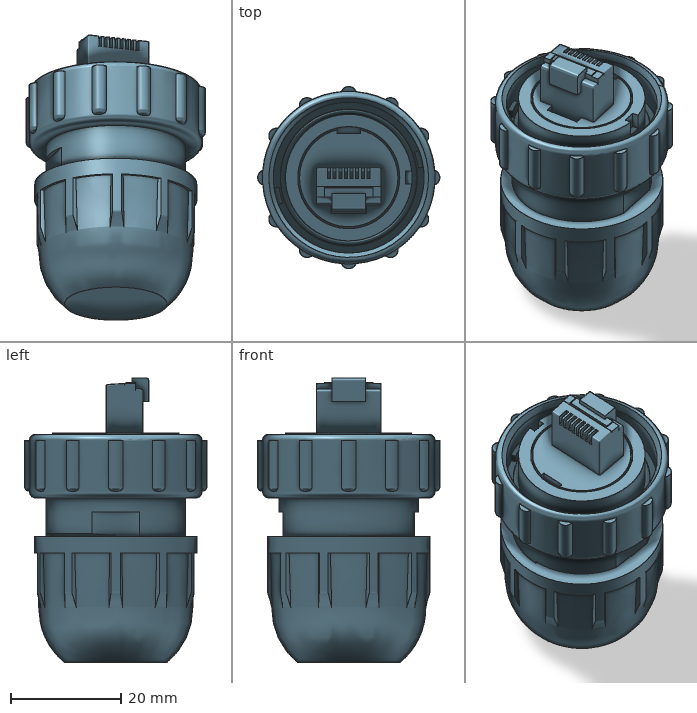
import cadquery as cq
import math

DOME_TOP_Z = 10.0
GRIP_BEND_BOTTOM_Z = 12.3
GRIP_BEND_TOP_Z = 12.9
GRIP_TOP_Z = 19.9
COLLAR_TOP_Z = 22.9
FLAT_TOP_Z = 27.3
NUT_BOTTOM_Z = 29.9
SHELF_Z = 35.0
NUT_TOP_Z = 41.45
BODY_TOP_Z = 41.65
TOTAL_HEIGHT = 51.72

GLAND_END_RADIUS = 9.3
DOME_MID_RADIUS = 12.72
DOME_MID_Z = 4.3
DOME_RADIUS = 14.0
PANEL_TOP_RADIUS = 14.25
COLLAR_RADIUS = 14.75
GRIP_COUNT = 10
GRIP_TIP_WIDTH = 1.65
GRIP_BASE_WIDTH = 2.35
GRIP_BASE_RADIUS = 14.1
GRIP_BEND_RADIUS = 14.62
RIB_OVERLAP = 0.5

HOUSING_RADIUS = 12.7
HOUSING_ACROSS_FLATS = 23.9
THREAD_RELIEF_RADIUS = 11.2
LEFT_RELIEF_HEIGHT = 0.5
FRONT_RELIEF_HEIGHT = 0.1
THREAD_RELIEF_SWEEP = 90

NUT_RADIUS = 15.68
NUT_BORE_RADIUS = 13.7
NUT_ROUNDING = 1.15
BORE_CHAMFER_WIDTH = 0.8
BORE_CHAMFER_DEPTH = 1.0
NUT_RIB_COUNT = 12
NUT_RIB_RADIUS = 1.4
NUT_RIB_REACH = 16.56
NUT_RIB_BOTTOM_Z = 31.1
NUT_RIB_TOP_Z = NUT_TOP_Z - NUT_ROUNDING
NUT_RIB_ROUNDING = 0.85
LUG_INNER_RADIUS = 12.8
LUG_START_ANGLE = 8
LUG_SWEEP = 13
LUG_HEIGHT = 1.5

BODY_RADIUS = 11.5
SEAL_SECTION_RADIUS = 0.48
INSERT_RADIUS = 8.93
INSERT_GAP = 0.34
INSERT_GAP_DEPTH = 1.0
INSERT_KEY_WIDTH = 4.3
INSERT_KEY_INNER_Y = 8.0
INSERT_KEY_DEPTH = 1.5
BODY_KEY_WIDTH = 2.4
BODY_KEY_INNER_X = 10.3
BODY_KEY_DEPTH = 3.0

PLUG_WIDTH = 11.74
PLUG_BACK_Y = 1.75
PLUG_FRONT_Y = -4.95
PLUG_BACK_TOP_Z = 50.5
PLUG_MIDDLE_TOP_Z = 50.7
SHOULDER_TOP_Z = 50.65
PLUG_STEP_Y = -3.55
PLUG_STEP_Z = 49.7
PLUG_EDGE_ROUNDING = 0.3
STEP_ROUNDING = 0.6
PAD_WIDTH = 8.85
PAD_START_Y = -1.6
PAD_RAMP_LENGTH = 0.28
PAD_TOP_Z = 50.85
CONTACT_COUNT = 8
CONTACT_PITCH = 1.02
CONTACT_SLOT_WIDTH = 0.55
CONTACT_SLOT_END_Y = -0.15
CONTACT_SLOT_DEPTH = 2.0

LATCH_WIDTH = 6.1
LATCH_BACK_Y = -2.92
LATCH_FRONT_Y = -6.03
LATCH_BOTTOM_Z = 47.4
LATCH_ROUNDING = 0.6
POCKET_WIDTH = 6.4
POCKET_FRONT_Y = -6.5
POCKET_DEPTH = 3.0


def box(x_range, y_range, z_range):
    """Axis-aligned block given by its limits along each axis."""
    (x0, x1), (y0, y1), (z0, z1) = x_range, y_range, z_range
    return cq.Workplane("XY").box(x1 - x0, y1 - y0, z1 - z0, centered=False).translate((x0, y0, z0))


def cylinder(radius, z0, z1):
    return cq.Workplane("XY").workplane(offset=z0).circle(radius).extrude(z1 - z0)


def ring(inner_radius, outer_radius, z0, z1):
    return cylinder(outer_radius, z0, z1).cut(cylinder(inner_radius, z0, z1))


def centered(width):
    return (-width / 2, width / 2)


def revolve(outline, angle=360):
    """Turn a closed (radius, Z) outline in the XZ plane about the Z axis."""
    return outline.close().revolve(angle, (0, 0, 0), (0, 1, 0))


def spin(shape, angle):
    return shape.rotate((0, 0, 0), (0, 0, 1), angle)


def make_grip_rib():
    """Rib along +X with slanted flanks and a foot that tapers into the dome."""
    rib_envelope = revolve(
        cq.Workplane("XZ")
        .moveTo(0, GRIP_TOP_Z)
        .lineTo(COLLAR_RADIUS, GRIP_TOP_Z)
        .lineTo(COLLAR_RADIUS, GRIP_BEND_TOP_Z)
        .tangentArcPoint((GRIP_BEND_RADIUS, GRIP_BEND_BOTTOM_Z), relative=False)
        .lineTo(DOME_RADIUS, DOME_TOP_Z)
        .lineTo(0, DOME_TOP_Z)
    )
    flank_slope = (GRIP_BASE_WIDTH - GRIP_TIP_WIDTH) / 2 / (COLLAR_RADIUS - GRIP_BASE_RADIUS)
    root_radius = DOME_RADIUS - RIB_OVERLAP
    root_half_width = GRIP_BASE_WIDTH / 2 + flank_slope * (GRIP_BASE_RADIUS - root_radius)
    outer_radius = COLLAR_RADIUS + RIB_OVERLAP
    outer_half_width = GRIP_TIP_WIDTH / 2 - flank_slope * (outer_radius - COLLAR_RADIUS)
    return (
        cq.Workplane("XY")
        .workplane(offset=DOME_TOP_Z)
        .polyline([
            (root_radius, -root_half_width),
            (outer_radius, -outer_half_width),
            (outer_radius, outer_half_width),
            (root_radius, root_half_width),
        ])
        .close()
        .extrude(GRIP_TOP_Z - DOME_TOP_Z)
        .intersect(rib_envelope)
    )


def make_gland():
    """Domed clamping nut with a smooth collar and grip ribs between recessed panels."""
    core = revolve(
        cq.Workplane("XZ")
        .moveTo(0, COLLAR_TOP_Z)
        .lineTo(COLLAR_RADIUS, COLLAR_TOP_Z)
        .lineTo(COLLAR_RADIUS, GRIP_TOP_Z)
        .lineTo(PANEL_TOP_RADIUS, GRIP_TOP_Z)
        .lineTo(DOME_RADIUS, DOME_TOP_Z)
        .threePointArc((DOME_MID_RADIUS, DOME_MID_Z), (GLAND_END_RADIUS, 0))
        .lineTo(0, 0)
    )
    rib = make_grip_rib()
    for index in range(GRIP_COUNT):
        core = core.union(spin(rib, index * 360 / GRIP_COUNT))
    return core


def make_thread_relief(height):
    """Quarter-turn wedge, tallest at the housing surface and running out inwards."""
    return revolve(
        cq.Workplane("XZ")
        .moveTo(THREAD_RELIEF_RADIUS, COLLAR_TOP_Z)
        .lineTo(HOUSING_RADIUS, COLLAR_TOP_Z)
        .lineTo(HOUSING_RADIUS, COLLAR_TOP_Z + height),
        THREAD_RELIEF_SWEEP,
    )


def make_housing():
    """Cylindrical neck with two wrench flats and two thread run-out reliefs at its foot."""
    housing = cylinder(HOUSING_RADIUS, COLLAR_TOP_Z, SHELF_Z)
    between_flats = box(
        centered(HOUSING_ACROSS_FLATS), centered(2 * HOUSING_RADIUS), (COLLAR_TOP_Z, FLAT_TOP_Z)
    )
    flats = cylinder(HOUSING_RADIUS, COLLAR_TOP_Z, FLAT_TOP_Z).cut(between_flats)
    for start_angle, height in ((90, LEFT_RELIEF_HEIGHT), (270, FRONT_RELIEF_HEIGHT)):
        housing = housing.cut(spin(make_thread_relief(height), start_angle))
    return housing.cut(flats)


def make_nut():
    """Coupling nut with rounded rims, finger ribs and two bayonet lugs in its bore."""
    nut = cylinder(NUT_RADIUS, NUT_BOTTOM_Z, NUT_TOP_Z).edges().fillet(NUT_ROUNDING)
    rib = (
        cylinder(NUT_RIB_RADIUS, NUT_RIB_BOTTOM_Z, NUT_RIB_TOP_Z)
        .faces("<Z").edges().fillet(NUT_RIB_ROUNDING)
        .translate((NUT_RIB_REACH - NUT_RIB_RADIUS, 0, 0))
    )
    for index in range(NUT_RIB_COUNT):
        nut = nut.union(spin(rib, index * 360 / NUT_RIB_COUNT))
    bore = revolve(
        cq.Workplane("XZ")
        .moveTo(0, SHELF_Z)
        .lineTo(NUT_BORE_RADIUS, SHELF_Z)
        .lineTo(NUT_BORE_RADIUS, NUT_TOP_Z - BORE_CHAMFER_DEPTH)
        .lineTo(NUT_BORE_RADIUS + BORE_CHAMFER_WIDTH, NUT_TOP_Z)
        .lineTo(0, NUT_TOP_Z)
    )
    nut = nut.cut(bore)
    lug_ring = ring(LUG_INNER_RADIUS, NUT_BORE_RADIUS, SHELF_Z, SHELF_Z + LUG_HEIGHT)
    for start in (LUG_START_ANGLE, LUG_START_ANGLE + 180):
        nut = nut.union(lug_ring.intersect(make_sector(start, LUG_SWEEP)))
    return nut


def make_sector(start_angle, sweep):
    """Wedge from the axis outwards that limits a ring to part of a turn."""
    reach = 2 * NUT_RADIUS
    corners = [(0, 0)]
    for angle in (start_angle, start_angle + sweep):
        turn = math.radians(angle)
        corners.append((reach * math.cos(turn), reach * math.sin(turn)))
    return cq.Workplane("XY").polyline(corners).close().extrude(TOTAL_HEIGHT)


def make_body():
    """Round plug body with a sealing ring, an insert outline, two key notches and a latch pocket."""
    body = cylinder(BODY_RADIUS, SHELF_Z, BODY_TOP_Z)
    seal = (
        cq.Workplane("XZ")
        .moveTo(BODY_RADIUS + SEAL_SECTION_RADIUS, SHELF_Z + SEAL_SECTION_RADIUS / 2)
        .circle(SEAL_SECTION_RADIUS)
        .revolve(360, (0, 0, 0), (0, 1, 0))
    )
    gap_radius = INSERT_RADIUS + INSERT_GAP
    gap = ring(INSERT_RADIUS, gap_radius, BODY_TOP_Z - INSERT_GAP_DEPTH, BODY_TOP_Z)
    insert_key_z = (BODY_TOP_Z - INSERT_KEY_DEPTH, BODY_TOP_Z)
    insert_key = box(
        centered(INSERT_KEY_WIDTH), (INSERT_KEY_INNER_Y, gap_radius), insert_key_z
    ).intersect(cylinder(gap_radius, *insert_key_z))
    body_key = box(
        (BODY_KEY_INNER_X, BODY_RADIUS),
        centered(BODY_KEY_WIDTH),
        (BODY_TOP_Z - BODY_KEY_DEPTH, BODY_TOP_Z),
    )
    pocket = box(
        centered(POCKET_WIDTH),
        (POCKET_FRONT_Y, PLUG_FRONT_Y),
        (BODY_TOP_Z - POCKET_DEPTH, BODY_TOP_Z),
    )
    return body.union(seal).cut(gap).cut(insert_key).cut(body_key).cut(pocket)


def extrude_side_profile(points, width):
    """Extrude a (Y, Z) outline symmetrically along X."""
    return cq.Workplane("YZ").polyline(points).close().extrude(width / 2, both=True)


def make_plug():
    """Modular plug with a sloping end face, contact slots, a stepped front and a latch."""
    back_block = extrude_side_profile([
        (PAD_START_Y, BODY_TOP_Z),
        (PLUG_BACK_Y, BODY_TOP_Z),
        (PLUG_BACK_Y, PLUG_BACK_TOP_Z),
        (PAD_START_Y, PLUG_MIDDLE_TOP_Z),
    ], PLUG_WIDTH)
    sloping_sides = "(<X or >X) and (not |Y) and (not |Z)"
    back_edges = ">Y and (not <Z)"
    back_block = back_block.edges(f"({sloping_sides}) or ({back_edges})").fillet(PLUG_EDGE_ROUNDING)
    front_block = extrude_side_profile([
        (PLUG_FRONT_Y, BODY_TOP_Z),
        (PAD_START_Y, BODY_TOP_Z),
        (PAD_START_Y, SHOULDER_TOP_Z),
        (PLUG_STEP_Y, SHOULDER_TOP_Z),
        (PLUG_STEP_Y, PLUG_STEP_Z),
        (PLUG_FRONT_Y, PLUG_STEP_Z),
    ], PLUG_WIDTH)
    front_block = front_block.faces("<Y").edges(">Z").fillet(STEP_ROUNDING)
    front_block = front_block.faces("<Y").edges("|Z").fillet(PLUG_EDGE_ROUNDING)
    plug = back_block.union(front_block)
    pad = extrude_side_profile([
        (PAD_START_Y, PLUG_BACK_TOP_Z),
        (PAD_START_Y - PAD_RAMP_LENGTH, PAD_TOP_Z),
        (PLUG_STEP_Y, PAD_TOP_Z),
        (PLUG_STEP_Y, PLUG_BACK_TOP_Z),
    ], PAD_WIDTH)
    latch = box(
        centered(LATCH_WIDTH), (LATCH_FRONT_Y, LATCH_BACK_Y), (LATCH_BOTTOM_Z, TOTAL_HEIGHT)
    ).edges("|X and <Y and >Z").fillet(LATCH_ROUNDING)
    plug = plug.union(pad).union(latch)
    for index in range(CONTACT_COUNT):
        slot_x = (index - (CONTACT_COUNT - 1) / 2) * CONTACT_PITCH
        slot = box(
            centered(CONTACT_SLOT_WIDTH),
            (CONTACT_SLOT_END_Y, PLUG_BACK_Y),
            (PLUG_BACK_TOP_Z - CONTACT_SLOT_DEPTH, TOTAL_HEIGHT),
        )
        plug = plug.cut(slot.translate((slot_x, 0, 0)))
    return plug


result = make_gland()
for portion in (make_housing(), make_nut(), make_body(), make_plug()):
    result = result.union(portion)